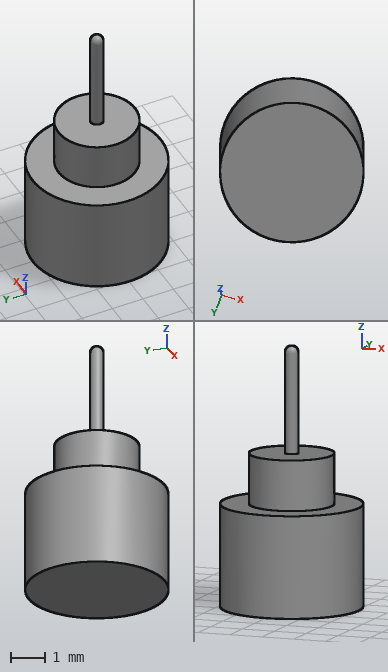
import cadquery as cq

total_height = 7.75
base_diameter = 4.2
base_height = 3.05
collar_diameter = 2.5
collar_height = 1.5
insert_diameter = 1.95
pin_diameter = 0.4

pin_radius = pin_diameter / 2
collar_top = base_height + collar_height
pin_length = total_height - collar_top


def cylinder(diameter, bottom, height):
    """Upright cylinder centred on the Z axis."""
    return cq.Workplane("XY").workplane(offset=bottom).circle(diameter / 2).extrude(height)


base = cylinder(base_diameter, 0, base_height)

insert = cylinder(insert_diameter, base_height, collar_height)
sleeve = cylinder(collar_diameter, base_height, collar_height).cut(insert)

tip = cq.Workplane("XY").sphere(pin_radius).translate((0, 0, total_height - pin_radius))
pin = cylinder(pin_diameter, collar_top, pin_length - pin_radius).union(tip)

result = base.union(sleeve, clean=False).union(insert, clean=False).union(pin, clean=False)